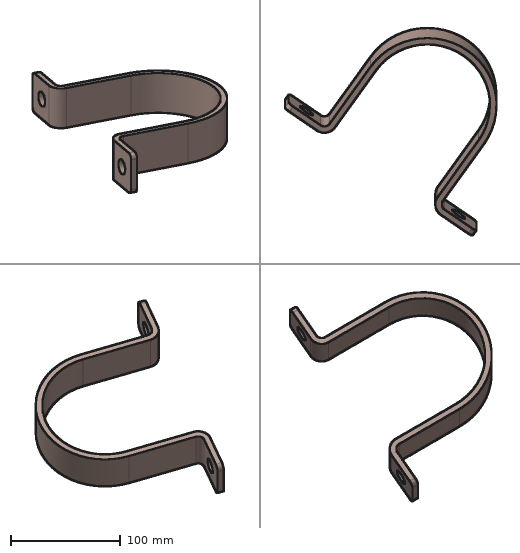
import cadquery as cq

length = 210.0
depth = 141.0
width = 40.0
thickness = 6.0
arch_outer_radius = 63.5
bend_inner_radius = 5.9
hole_diameter = 14.0
hole_end_distance = 20.0
corner_radius = 5.0

half_length = length / 2
arch_inner_radius = arch_outer_radius - thickness
arch_center_y = depth - arch_outer_radius
bend_outer_radius = bend_inner_radius + thickness
bend_center_x = arch_inner_radius + bend_outer_radius
bend_center_y = bend_outer_radius
hole_x = half_length - hole_end_distance


def make_arch():
    """Half ring closing the top of the strap."""
    return (
        cq.Workplane("XY")
        .moveTo(arch_outer_radius, arch_center_y)
        .threePointArc((0, depth), (-arch_outer_radius, arch_center_y))
        .lineTo(-arch_inner_radius, arch_center_y)
        .threePointArc((0, depth - thickness), (arch_inner_radius, arch_center_y))
        .close()
        .extrude(width)
    )


def make_leg_and_foot():
    """Straight leg on the +X side, bent outward into a flat foot."""
    return (
        cq.Workplane("XY")
        .moveTo(arch_inner_radius, arch_center_y)
        .lineTo(arch_inner_radius, bend_center_y)
        .radiusArc((bend_center_x, 0), -bend_outer_radius)
        .lineTo(half_length, 0)
        .lineTo(half_length, thickness)
        .lineTo(bend_center_x, thickness)
        .radiusArc((arch_outer_radius, bend_center_y), bend_inner_radius)
        .lineTo(arch_outer_radius, arch_center_y)
        .close()
        .extrude(width)
        .faces(">X")
        .edges("|Y")
        .fillet(corner_radius)
    )


def make_holes():
    """Cylinders for the mounting hole through each foot."""
    return (
        cq.Workplane("XZ")
        .pushPoints([(side * hole_x, width / 2) for side in (-1, 1)])
        .circle(hole_diameter / 2)
        .extrude(-thickness)
    )


right_side = make_leg_and_foot()
left_side = right_side.mirror("YZ")
result = make_arch().union(right_side).union(left_side).cut(make_holes())